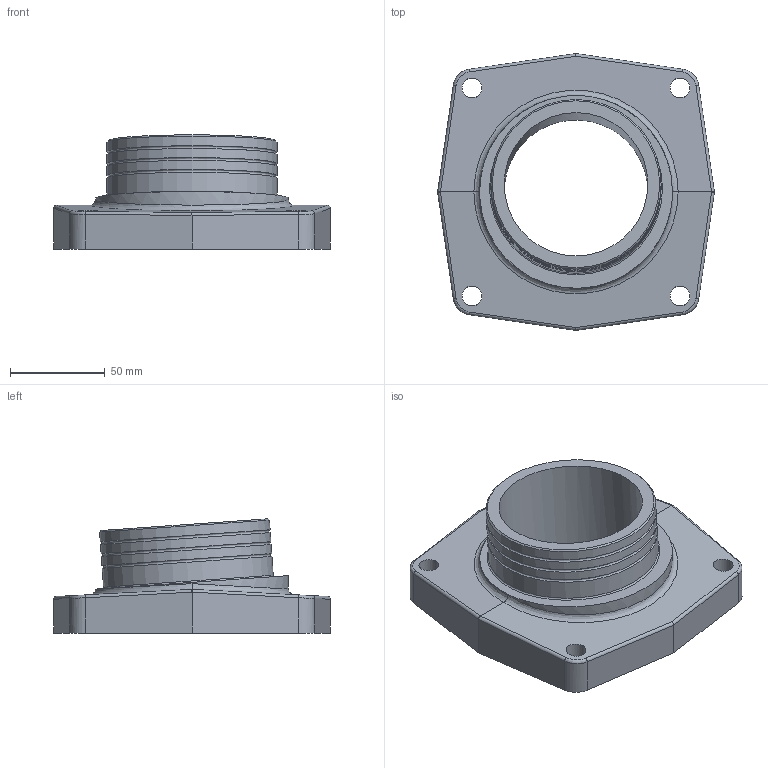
import cadquery as cq
import math

HALF_WIDTH = 73.155
RIDGE_HEIGHT = 23.15
ROOF_SLOPE = 3.0
PLATE_EDGE_RADIUS = 1.5
CORNER_RADIUS = 10.0
BOLT_OFFSET = 55.0
BOLT_DIAMETER = 10.5

TILT = 4.0
SPOUT_RADIUS = 45.0
SPOUT_LENGTH = 57.5
SPOUT_RIM_CHAMFER = 0.75
SPOUT_ROOT_FILLET = 0.75
BORE_RADIUS = 38.0

COLLAR_RADIUS = 51.0
COLLAR_TOP = 26.8
COLLAR_FILLET = 3.0
COLLAR_BLANK_HEIGHT = 50.0

GROOVE_COUNT = 3
GROOVE_PITCH = 6.3
FIRST_GROOVE_DROP = 6.6
GROOVE_RADIUS = 0.75

MARGIN = 10.0


def tilted(body):
    """Lean an upright body toward +Y by the spout angle."""
    return body.rotate((0, 0, 0), (1, 0, 0), -TILT)


def plate_prism():
    """Eight-sided prism with four rounded corners, taller than the finished plate."""
    setback = HALF_WIDTH - BOLT_OFFSET
    centre_angle = math.atan2(setback, BOLT_OFFSET)
    tangent_angle = math.asin(CORNER_RADIUS / math.hypot(BOLT_OFFSET, setback))
    side_angle = centre_angle - tangent_angle
    corner = HALF_WIDTH / (1 + math.tan(side_angle))
    outline = [
        (HALF_WIDTH, 0), (corner, corner), (0, HALF_WIDTH), (-corner, corner),
        (-HALF_WIDTH, 0), (-corner, -corner), (0, -HALF_WIDTH), (corner, -corner),
    ]
    prism = cq.Workplane("XY").polyline(outline).close().extrude(2 * RIDGE_HEIGHT)
    for x_side in (-1, 1):
        for y_side in (-1, 1):
            corner_point = (x_side * corner, y_side * corner, RIDGE_HEIGHT)
            at_corner = cq.selectors.NearestToPointSelector(corner_point)
            prism = prism.edges("|Z").edges(at_corner).fillet(CORNER_RADIUS)
    return prism


def sloped_plate():
    """Plate with one flat top that falls toward +Y, its top edge rounded."""
    reach = HALF_WIDTH + MARGIN
    rise = reach * math.tan(math.radians(ROOF_SLOPE))
    slab_profile = [
        (-reach, 0), (reach, 0),
        (reach, RIDGE_HEIGHT - rise), (-reach, RIDGE_HEIGHT + rise),
    ]
    slab = cq.Workplane("YZ").polyline(slab_profile).close().extrude(reach, both=True)
    return plate_prism().intersect(slab).faces(">Z").edges().fillet(PLATE_EDGE_RADIUS)


def base_half():
    """The +Y half of plate and collar, with the blend where they meet."""
    collar_blank = cq.Workplane("XY").circle(COLLAR_RADIUS).extrude(COLLAR_BLANK_HEIGHT)
    body = sloped_plate().union(collar_blank)
    collar_joint = cq.selectors.BoxSelector(
        (-COLLAR_RADIUS, -COLLAR_RADIUS, 0),
        (COLLAR_RADIUS, COLLAR_RADIUS, COLLAR_BLANK_HEIGHT))
    body = body.edges("%ELLIPSE").edges(collar_joint).fillet(COLLAR_FILLET)
    side = 2 * (HALF_WIDTH + MARGIN)
    half_space = cq.Workplane("XY").box(side, side, side, centered=(True, False, True))
    return body.intersect(half_space)


def base():
    """Both mirrored halves joined, with the collar cut off square to the spout."""
    half = base_half()
    body = half.union(half.mirror("XZ"))
    above = (cq.Workplane("XY").workplane(offset=COLLAR_TOP)
             .circle(COLLAR_RADIUS + MARGIN).extrude(COLLAR_BLANK_HEIGHT))
    return body.cut(tilted(above))


def spout():
    """Grooved tube, still solid, starting inside the collar."""
    start = COLLAR_TOP / 2
    tube = cq.Workplane("XY").workplane(offset=start).circle(SPOUT_RADIUS).extrude(SPOUT_LENGTH - start)
    tube = tube.faces(">Z").edges().chamfer(SPOUT_RIM_CHAMFER)
    for index in range(GROOVE_COUNT):
        middle = SPOUT_LENGTH - FIRST_GROOVE_DROP - index * GROOVE_PITCH
        groove = cq.Workplane(cq.Solid.makeTorus(SPOUT_RADIUS, GROOVE_RADIUS, cq.Vector(0, 0, middle)))
        tube = tube.cut(groove)
    return tilted(tube)


def with_spout(body):
    """Add the spout and blend its root into the collar top."""
    joined = body.union(spout())
    untilted = joined.rotate((0, 0, 0), (1, 0, 0), TILT)
    root = cq.selectors.BoxSelector(
        (-SPOUT_RADIUS, -SPOUT_RADIUS, COLLAR_TOP - SPOUT_ROOT_FILLET),
        (SPOUT_RADIUS, SPOUT_RADIUS, COLLAR_TOP + SPOUT_ROOT_FILLET), boundingbox=False)
    return tilted(untilted.edges("%CIRCLE").edges(root).fillet(SPOUT_ROOT_FILLET))


def bore():
    """Cutter for the tilted passage through the whole part."""
    tool = cq.Workplane("XY").workplane(offset=-MARGIN).circle(BORE_RADIUS).extrude(SPOUT_LENGTH + 2 * MARGIN)
    return tilted(tool)


def bolt_holes():
    """Cutter for the four through holes in the corners."""
    spacing = 2 * BOLT_OFFSET
    return (cq.Workplane("XY").rarray(spacing, spacing, 2, 2)
            .circle(BOLT_DIAMETER / 2).extrude(RIDGE_HEIGHT))


result = with_spout(base()).cut(bore()).cut(bolt_holes())